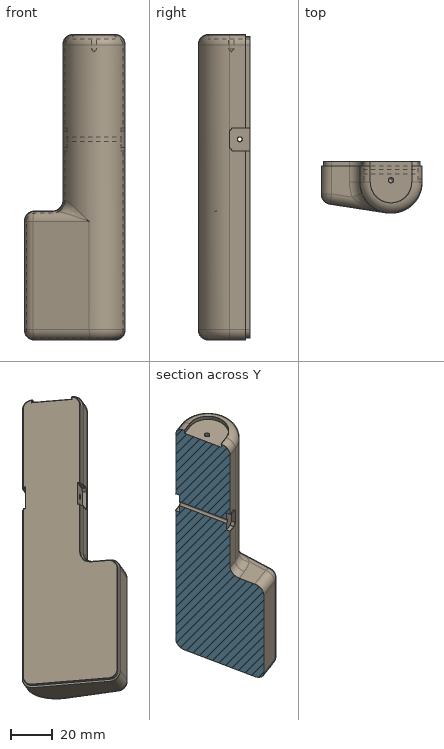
import cadquery as cq
import math

total_width = 48.5
total_depth = 25.0
total_height = 147.0
handle_radius = 15.0
edge_radius = 5.0

compartment_height = 62.0
compartment_depth = 20.0

lip_height = 2.2
lip_step = 1.0

recess_depth = 2.0
side_seat_height = 11.0
side_seat_corner = 1.5
side_seat_z = 96.6
side_hole_diameter = 2.2
side_hole_from_back = 5.0
top_hole_diameter = 2.5
top_hole_from_back = 9.1
top_hole_depth = 5.0

back_y = total_depth - handle_radius
left_x = handle_radius - total_width
corner_y = back_y - compartment_depth
top_seat_radius = handle_radius - edge_radius


def nearest(x, y, z):
    """Selector for the edge or face whose centre is closest to a point."""
    return cq.selectors.NearestToPointSelector((x, y, z))


def d_outline(radius):
    """Section of the handle: half circle at the front, straight sides to the back."""
    return (
        cq.Workplane("XY")
        .moveTo(-radius, back_y)
        .lineTo(-radius, 0)
        .threePointArc((0, -radius), (radius, 0))
        .lineTo(radius, back_y)
        .close()
    )


def compartment():
    """Block whose sloping front face runs tangent onto the handle cylinder."""
    corner_distance = math.hypot(left_x, corner_y)
    corner_angle = math.atan2(corner_y, left_x)
    tangent_angle = corner_angle + math.acos(handle_radius / corner_distance)
    tangent_x = handle_radius * math.cos(tangent_angle)
    tangent_y = handle_radius * math.sin(tangent_angle)
    block = (
        cq.Workplane("XY")
        .moveTo(left_x, back_y)
        .lineTo(left_x, corner_y)
        .lineTo(tangent_x, tangent_y)
        .lineTo(0, 0)
        .lineTo(0, back_y)
        .close()
        .extrude(compartment_height)
    )
    outer_corner = nearest(left_x, corner_y, compartment_height / 2)
    block = block.edges(outer_corner).fillet(edge_radius)
    left_top_edge = nearest(left_x, 0, compartment_height)
    return block.edges(left_top_edge).fillet(edge_radius)


def rounded_body():
    """Handle and compartment joined, with the inside corner and both ends rounded."""
    body = d_outline(handle_radius).extrude(total_height).union(compartment())
    seam_top = body.edges(nearest(-handle_radius, back_y / 2, compartment_height))
    body = seam_top.fillet(edge_radius)
    return body.faces("<Z or >Z").edges("not >Y").fillet(edge_radius)


def lip_clearance(body):
    """Band around the back face whose removal leaves a lip stepped in all round."""
    outline = body.faces(">Y").wires().val()
    lip_outline = outline.offset2D(-lip_step)[0]
    return cq.Workplane(cq.Solid.extrudeLinear(outline, [lip_outline], cq.Vector(0, -lip_height, 0)))


def top_seat():
    """D-shaped recess in the top end with a blind, pointed screw hole."""
    seat_z = total_height - recess_depth
    seat = d_outline(top_seat_radius).extrude(recess_depth).translate((0, 0, seat_z))
    hole_radius = top_hole_diameter / 2
    hole = (
        cq.Workplane("XZ", origin=(0, back_y - top_hole_from_back, seat_z))
        .lineTo(hole_radius, 0)
        .lineTo(hole_radius, -top_hole_depth)
        .lineTo(0, -top_hole_depth - hole_radius)
        .close()
        .revolve(360, (0, 0, 0), (0, 1, 0))
    )
    return seat.union(hole)


def side_seats():
    """Matching recesses on both handle sides, joined by a screw hole straight through."""
    seats = cq.Workplane("YZ", origin=(-handle_radius, back_y - side_hole_from_back, side_seat_z))
    seats = seats.circle(side_hole_diameter / 2).extrude(2 * handle_radius)
    for side in (-1, 1):
        pocket = (
            cq.Workplane("XY")
            .box(recess_depth, back_y, side_seat_height)
            .edges("|X and <Y")
            .chamfer(side_seat_corner)
            .translate((side * (handle_radius - recess_depth / 2), back_y / 2, side_seat_z))
        )
        seats = seats.union(pocket)
    return seats


body = rounded_body()
result = body.cut(lip_clearance(body)).cut(top_seat()).cut(side_seats())